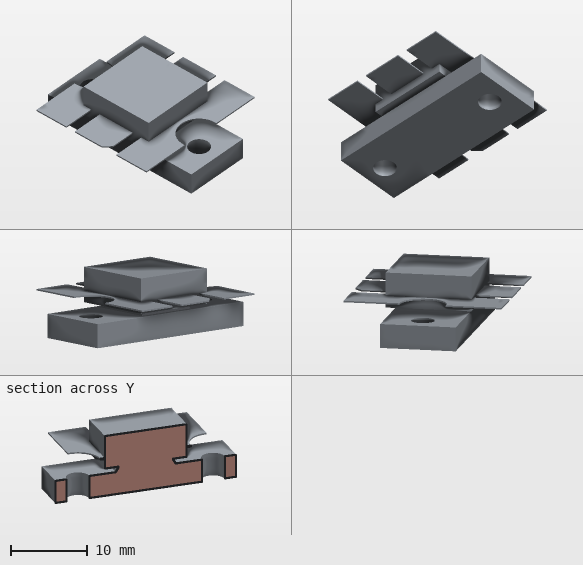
import cadquery as cq

flange_length = 25.1
flange_width = 10.05
flange_thickness = 3.2
hole_diameter = 3.1
hole_offset = 9.39

pedestal_bottom_side = 8.35
pedestal_top_side = 7.6
pedestal_height = 0.65

body_side = 11.4
total_height = 8.5
body_bottom = flange_thickness + pedestal_height
body_height = total_height - body_bottom

lead_bottom = 5.2
lead_thickness = 0.2
lead_span = 21.0
side_lead_outer_edge = 9.65
side_lead_width = 5.25
side_lead_center = side_lead_outer_edge - side_lead_width / 2
middle_lead_width = 5.75
index_chamfer = 1.0
notch_radius = 3.09


def make_flange():
    return (
        cq.Workplane("XY")
        .box(flange_length, flange_width, flange_thickness, centered=(True, True, False))
        .faces(">Z")
        .workplane()
        .pushPoints([(-hole_offset, 0), (hole_offset, 0)])
        .hole(hole_diameter)
    )


def make_pedestal():
    return (
        cq.Workplane("XY")
        .workplane(offset=flange_thickness)
        .rect(pedestal_bottom_side, pedestal_bottom_side)
        .workplane(offset=pedestal_height)
        .rect(pedestal_top_side, pedestal_top_side)
        .loft(ruled=True)
    )


def make_body():
    return (
        cq.Workplane("XY")
        .workplane(offset=body_bottom)
        .rect(body_side, body_side)
        .extrude(body_height)
    )


def make_side_lead(side):
    """Lead strip on one side (-1 or +1 along X), notched around the mounting hole."""
    lead_plane = cq.Workplane("XY").workplane(offset=lead_bottom)
    strip = (
        lead_plane.center(side * side_lead_center, 0)
        .rect(side_lead_width, lead_span)
        .extrude(lead_thickness)
    )
    notch_round = (
        lead_plane.center(side * hole_offset, 0)
        .circle(notch_radius)
        .extrude(lead_thickness)
    )
    notch_mouth = (
        lead_plane.center(side * (hole_offset + notch_radius / 2), 0)
        .rect(notch_radius, 2 * notch_radius)
        .extrude(lead_thickness)
    )
    return strip.cut(notch_round).cut(notch_mouth)


def make_middle_lead():
    """Middle lead strip, with one corner clipped to mark its -Y end."""
    return (
        cq.Workplane("XY")
        .workplane(offset=lead_bottom)
        .rect(middle_lead_width, lead_span)
        .extrude(lead_thickness)
        .edges("|Z and >X and <Y")
        .chamfer(index_chamfer)
    )


result = make_flange().union(make_pedestal()).union(make_body()).union(make_middle_lead())
for side in (-1, 1):
    result = result.union(make_side_lead(side))